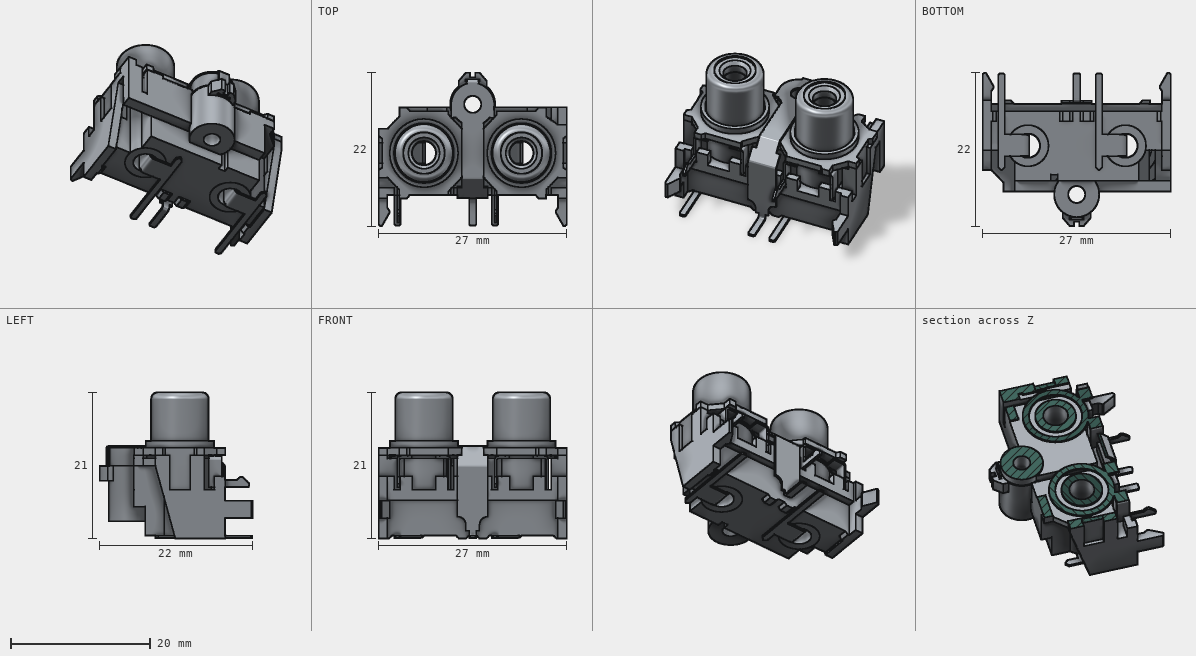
import cadquery as cq
import math


half_width = 13.5
jack_x = 7.0
top_z = 21.0

bottom_z = 0.43
terminal_z = 0.08
ledge_z = 5.54
floor_z = 7.02
tooth_z = 8.95
deck_under_z = 10.42
deck_z = 11.5
cap_z = 12.0
cap_thickness = 1.03
cap_top_z = cap_z + cap_thickness
flange_z = 14.0

pillar_front_y = -6.5
ledge_front_y = -6.02
wall_front_y = -4.97
block_front_y = -3.5
rear_y = 6.6
rear_step_y = 5.0
wall_foot_y = 0.65
corner_y = -block_front_y

side_wall = 1.27
wall_inner_x = half_width - side_wall
cut_x = 10.53
cut_y = 5.26
core_half_width = 8.9

slot_inner = 3.43
slot_outer = 4.27
left_channel_inner = 3.25
slot_width = slot_outer - slot_inner
window_half_width = 1.67

snap_half_length = 1.48
snap_setback = 0.55

corner_post_y = 4.08

sleeve_diameter = 8.3
sleeve_bore = 7.6
sleeve_mouth = 6.0
sleeve_rounding = 1.0
sheet = (sleeve_diameter - sleeve_bore) / 2
sleeve_disc = 9.5
insulator_diameter = 5.9
contact_bore = 3.4
flange_diameter = 9.8
flange_bore = 8.6
barrel_diameter = 9.02

boss_y = 7.0
boss_hole = 2.4
boss_diameter = 6.48
boss_neck_diameter = 6.15
strip = 0.3
bracket_top_z = cap_top_z + strip
bracket_front_y = -6.48
slope_top_y = -3.67
slope_foot_z = 10.5
tongue_rear_y = 10.58
tongue_half_width = 0.85
pin_end_y = -10.4
lug_z = 8.3


def box(x0, x1, y0, y1, z0, z1):
    """Box between two opposite corners."""
    return cq.Workplane("XY").box(x1 - x0, y1 - y0, z1 - z0, centered=False).translate((x0, y0, z0))


def rod(diameter, z0, z1, x=0.0, y=0.0):
    """Upright cylinder."""
    return cq.Workplane("XY", origin=(x, y, z0)).circle(diameter / 2).extrude(z1 - z0)


def plan(points, z0, z1):
    """Upright prism over an XY outline."""
    return cq.Workplane("XY", origin=(0, 0, z0)).polyline(points).close().extrude(z1 - z0)


def profile(points, x0, x1):
    """Prism along X over a YZ outline."""
    return cq.Workplane("YZ", origin=(x0, 0, 0)).polyline(points).close().extrude(x1 - x0)


def both_sides(solid):
    """A shape on the left joined with its mirror image on the right."""
    return solid.union(solid.mirror("YZ"))


def side_wall_left():
    """Side wall with a sloping rear edge, a corner pillar in front and a window for the cap's snap tab."""
    wall = profile(
        [
            (pillar_front_y, 0),
            (wall_foot_y, 0),
            (corner_y, deck_under_z),
            (corner_y, cap_z),
            (block_front_y, cap_z),
            (block_front_y, floor_z),
            (wall_front_y, floor_z),
            (wall_front_y, tooth_z),
            (pillar_front_y, tooth_z),
        ],
        -half_width,
        -wall_inner_x,
    )
    window = box(-half_width, -wall_inner_x, -snap_half_length, snap_half_length, floor_z, cap_z)
    return wall.cut(window)


def latch_left():
    """Snap latch reaching forward from the corner pillar."""
    latch_z0, latch_z1 = 2.95, 5.45
    hook_x = -11.9
    neck_end_y = -7.83
    tip_y = -10.48
    return plan(
        [
            (-half_width, pillar_front_y),
            (-wall_inner_x, pillar_front_y),
            (-wall_inner_x, neck_end_y),
            (hook_x, -8.32),
            (hook_x, -8.53),
            (-12.1, -8.85),
            (-13.01, tip_y),
            (-13.25, tip_y),
            (-half_width, -10.25),
        ],
        latch_z0,
        latch_z1,
    )


def front_wall_left():
    """Left half of the front wall, with bevelled feet at the side wall and at the middle."""
    return (
        cq.Workplane("XZ", origin=(0, block_front_y, 0))
        .polyline(
            [
                (-wall_inner_x, 0),
                (-12.05, 0),
                (-11.53, bottom_z),
                (-2.43, bottom_z),
                (-1.97, 0),
                (-0.97, 0),
                (-0.55, bottom_z),
                (0, bottom_z),
                (0, floor_z),
                (-wall_inner_x, floor_z),
            ]
        )
        .close()
        .extrude(block_front_y - wall_front_y)
    )


def front_teeth():
    """Overhanging ledge with a row of teeth, slotted for the legs and open in front of each jack."""
    row = box(-wall_inner_x, wall_inner_x, ledge_front_y, wall_front_y, ledge_z, tooth_z)
    for x in (-jack_x, jack_x):
        openings = [
            (x - slot_outer, x - slot_inner),
            (x - window_half_width, x + window_half_width),
            (x + slot_inner, x + slot_outer),
        ]
        for x0, x1 in openings:
            row = row.cut(box(x0, x1, ledge_front_y, wall_front_y, floor_z, tooth_z))
    return row


def deck():
    """Upper slab under the cap; only its left rear corner is cut off."""
    slab = plan(
        [
            (-wall_inner_x, block_front_y),
            (wall_inner_x, block_front_y),
            (wall_inner_x, rear_y),
            (-cut_x, rear_y),
            (-cut_x, cut_y),
            (-wall_inner_x, corner_y),
        ],
        deck_under_z,
        deck_z,
    )
    corner_wall = box(wall_inner_x, half_width, corner_y, corner_post_y, deck_under_z, cap_z)
    corner_post = box(wall_inner_x, half_width, corner_post_y, rear_y, deck_under_z, cap_top_z)
    return slab.union(corner_wall).union(corner_post)


def deck_rims():
    """Low rims on the deck that carry the cap along the rear edge and inside the side walls."""
    side_rim = 0.27
    left_rim_end = -6.53
    right_rim_start = 7.83
    rims = both_sides(box(-wall_inner_x, -wall_inner_x + side_rim, 0, corner_y, deck_z, cap_z))
    rear_rims = [
        (-cut_x, left_rim_end, cut_y),
        (right_rim_start, jack_x + slot_inner, cut_y),
        (jack_x + slot_outer, wall_inner_x, corner_post_y),
    ]
    for x0, x1, y0 in rear_rims:
        rims = rims.union(box(x0, x1, y0, rear_y, deck_z, cap_z))
    return rims


def core():
    """Solid middle of the housing below the deck."""
    back_z = 4.6
    front = box(-wall_inner_x, wall_inner_x, block_front_y, wall_foot_y, bottom_z, deck_under_z)
    middle = box(-core_half_width, core_half_width, wall_foot_y, rear_step_y, bottom_z, deck_under_z)
    back = box(-core_half_width, half_width, rear_step_y, rear_y, back_z, deck_under_z)
    return front.union(middle).union(back)


def barrel_front(x):
    """Round front bulge of the housing around one jack."""
    bulge = rod(barrel_diameter, floor_z, deck_z, x)
    return bulge.intersect(box(x - barrel_diameter, x + barrel_diameter, -barrel_diameter, 0, 0, top_z))


def channel(x0, x1):
    """Channel beside a jack, running to the rear, with a well through the underside."""
    run = box(x0, x1, block_front_y, rear_y, floor_z, cap_z)
    well = box(x0, x1, rear_step_y - slot_width, rear_step_y, bottom_z, floor_z)
    return run.union(well)


def boss():
    """Stepped mounting boss with a slotted lug at its rear."""
    boss_z = 2.45
    lug_half_width = 2.02
    lug_shoulder_y = 10.35
    lug_tip_half_width = 1.0
    lug_rear_y = 11.53
    notch_half_width = 0.35
    notch_y = 10.9
    lug = plan(
        [
            (-lug_half_width, boss_y),
            (lug_half_width, boss_y),
            (lug_half_width, lug_shoulder_y),
            (lug_tip_half_width, lug_rear_y),
            (-lug_tip_half_width, lug_rear_y),
            (-lug_half_width, lug_shoulder_y),
        ],
        lug_z,
        deck_under_z,
    )
    end_notch = box(-notch_half_width, notch_half_width, notch_y, lug_rear_y, lug_z, deck_under_z)
    tongue_slot = box(
        -lug_tip_half_width, lug_tip_half_width, tongue_rear_y - strip, tongue_rear_y, lug_z, deck_under_z
    )
    body = rod(boss_diameter, boss_z, deck_under_z, 0, boss_y).union(lug)
    neck = rod(boss_neck_diameter, deck_under_z, cap_top_z, 0, boss_y)
    return body.union(neck).cut(end_notch).cut(tongue_slot)


def make_housing():
    body = core().union(deck()).union(deck_rims())
    for x, inner in ((-jack_x, left_channel_inner), (jack_x, slot_inner)):
        body = body.union(barrel_front(x)).cut(channel(x + inner, x + slot_outer))
    body = body.union(both_sides(side_wall_left().union(latch_left()).union(front_wall_left())))
    ledge = box(-wall_inner_x, wall_inner_x, wall_front_y, block_front_y, ledge_z, floor_z)
    body = body.union(ledge).union(front_teeth()).union(boss())
    for x in (-jack_x, jack_x):
        body = body.cut(rod(insulator_diameter, 0, top_z, x))
    return body.cut(rod(boss_hole, 0, top_z, 0, boss_y))


def cap_plate_left():
    """Octagon-like plate over the left jack with end tabs and a bevelled side notch."""
    web_x = -1.57
    inner_x = -3.48
    edge_y = 6.02
    tab_y = 6.53
    rear_half = [
        (-half_width + snap_setback, 2.08),
        (-half_width, 2.45),
        (-half_width, corner_y),
        (-wall_inner_x, corner_y),
        (-cut_x, cut_y),
        (-cut_x, tab_y),
        (-9.45, tab_y),
        (-9.02, edge_y),
        (inner_x, edge_y),
        (inner_x, 5.54),
        (web_x, corner_y),
    ]
    front_half = [(x, -y) for x, y in reversed(rear_half)]
    plate = plan(rear_half + front_half, cap_z, cap_top_z)
    snap_x = -half_width + snap_setback
    snap_tab = box(snap_x, -wall_inner_x, -snap_half_length, snap_half_length, floor_z, cap_z)
    return plate.union(snap_tab)


def cap_corner_right():
    """Filling of the right rear corner up to the corner post of the housing."""
    return plan(
        [
            (wall_inner_x, corner_y),
            (half_width, corner_y),
            (half_width, corner_post_y),
            (wall_inner_x, corner_post_y),
            (cut_x, cut_y),
        ],
        cap_z,
        cap_top_z,
    )


def make_cap():
    """One cap for both jacks: two flanged plates joined by a web under the bracket."""
    web_front_y = -3.35
    web = box(-jack_x, jack_x, web_front_y, corner_y, cap_z, cap_top_z)
    cap = both_sides(cap_plate_left()).union(web).union(cap_corner_right())
    for x in (-jack_x, jack_x):
        cap = cap.union(rod(flange_diameter, cap_top_z, flange_z, x))
    for x in (-jack_x, jack_x):
        cap = cap.cut(rod(flange_bore, cap_z, flange_z, x))
    return cap


leg_outer = 3.85
leg_rear_y = -4.15
wing_inner = 1.73


def ground_wing(side, leg_end_z):
    """Flat wing in front of the disc, bent down at its outer edge into a leg."""
    z1 = deck_z + sheet
    bend_radius = 0.55
    angle = (
        cq.Workplane("XZ", origin=(0, leg_rear_y, 0))
        .polyline(
            [
                (wing_inner, deck_z),
                (leg_outer - sheet, deck_z),
                (leg_outer - sheet, leg_end_z),
                (leg_outer, leg_end_z),
                (leg_outer, z1),
                (wing_inner, z1),
            ]
        )
        .close()
        .extrude(leg_rear_y - ledge_front_y)
    )
    middle_y = (leg_rear_y + ledge_front_y) / 2
    outer_edge = cq.selectors.NearestToPointSelector((leg_outer, middle_y, z1))
    inner_edge = cq.selectors.NearestToPointSelector((leg_outer - sheet, middle_y, deck_z))
    angle = angle.edges(outer_edge).fillet(bend_radius).edges(inner_edge).fillet(bend_radius - sheet)
    return angle if side > 0 else angle.mirror("YZ")


def make_sleeve(x):
    """Thin round-topped sleeve on a disc, with two legs; the left one carries a solder tab."""
    tab_z = 7.4
    tab_top_z = 8.42
    tab_hook_z = 8.85
    disc = rod(sleeve_disc, deck_z, deck_z + sheet)
    tube = rod(sleeve_diameter, deck_z, top_z).faces(">Z").edges().fillet(sleeve_rounding)
    hollow = rod(sleeve_bore, deck_z, top_z - sheet).faces(">Z").edges().fillet(sleeve_rounding - sheet)
    tab = profile(
        [
            (ledge_front_y, tab_z),
            (-9.88, tab_z),
            (-10.0, 7.88),
            (-9.0, tab_hook_z),
            (-8.65, tab_hook_z),
            (-8.15, tab_top_z),
            (ledge_front_y, tab_top_z),
        ],
        -leg_outer,
        -leg_outer + sheet,
    )
    sleeve = disc.union(tube).cut(hollow).cut(rod(sleeve_mouth, deck_z, top_z))
    sleeve = sleeve.union(ground_wing(-1, tab_z)).union(tab)
    return sleeve.union(ground_wing(1, floor_z)).translate((x, 0, 0))


def make_insulator(x):
    """Long insulating barrel with a countersunk bore that widens a little below its mouth."""
    recess = 0.2
    rim_z = top_z - recess
    countersink = 0.55
    mouth_depth = 1.78
    wide_bore = 3.5
    barrel = rod(insulator_diameter, bottom_z, rim_z).cut(rod(contact_bore, bottom_z, rim_z))
    barrel = barrel.faces(">Z").edges("%CIRCLE").edges(cq.selectors.RadiusNthSelector(0)).chamfer(countersink)
    return barrel.cut(rod(wide_bore, bottom_z, rim_z - mouth_depth)).translate((x, 0, 0))


def make_terminal(x):
    """Flat plate under the jack with a pin to the front and a blade bent up into the bore."""
    pin_width = 0.95
    tip_bevel = 0.22
    rear_bevel = 0.43
    blade_x = 0.2
    blade_top_z = 5.4
    blade_half_width = 1.48
    plate_rear_y = 3.5
    plate_front_y = -1.62
    plate_z = terminal_z + sheet
    inner_bend = 0.43
    pin = box(-slot_outer, -slot_outer + pin_width, pin_end_y, plate_rear_y, terminal_z, plate_z)
    pin = pin.faces("<Y").edges("|Z").chamfer(tip_bevel).faces(">Y").edges("|Z").chamfer(rear_bevel)
    plate = box(-slot_outer, blade_x, plate_front_y, blade_half_width, terminal_z, plate_z)
    blade = box(blade_x - sheet, blade_x, -blade_half_width, blade_half_width, terminal_z, blade_top_z)
    body = plate.union(blade).union(pin)
    inner_edge = cq.selectors.NearestToPointSelector((blade_x - sheet, 0, plate_z))
    outer_edge = cq.selectors.NearestToPointSelector((blade_x, 0, terminal_z))
    body = body.edges(inner_edge).fillet(inner_bend).edges(outer_edge).fillet(inner_bend + sheet)
    return body.translate((x, 0, 0))


def bent_strip(path, radii, thickness, half_width_x):
    """Sheet of constant thickness on the left of a YZ path, with every corner bent to its inner radius."""
    headings = [math.atan2(b[1] - a[1], b[0] - a[0]) for a, b in zip(path, path[1:])]
    starts = [headings[0]] + headings
    ends = headings + [headings[-1]]
    inside = []
    for (y, z), before, after in zip(path, starts, ends):
        normal = (before + after) / 2 + math.pi / 2
        reach = thickness / math.cos((after - before) / 2)
        inside.append((y + reach * math.cos(normal), z + reach * math.sin(normal)))
    body = profile(path + inside[::-1], -half_width_x, half_width_x)
    for near, far, before, after, radius in zip(path[1:-1], inside[1:-1], headings, headings[1:], radii):
        turns_left = math.sin(after - before) > 0
        outer, inner = (near, far) if turns_left else (far, near)
        body = body.edges(cq.selectors.NearestToPointSelector((0, *outer))).fillet(radius + thickness)
        body = body.edges(cq.selectors.NearestToPointSelector((0, *inner))).fillet(radius)
    return body


def bracket_plan():
    """Plan outline of the rear part: tongue, ring and neck, with rounded shoulders."""
    ring_radius = boss_neck_diameter / 2
    neck = 1.57
    shoulder_y = 5.1
    shoulder_radius = 1.08
    head = box(-ring_radius, ring_radius, shoulder_y, boss_y, 0, top_z)
    outline = head.union(box(-neck, neck, wall_front_y, boss_y, 0, top_z))
    for side in (-1, 1):
        corner = cq.selectors.NearestToPointSelector((side * neck, shoulder_y, top_z / 2))
        outline = outline.edges(corner).fillet(shoulder_radius)
    outline = outline.union(rod(boss_neck_diameter, 0, top_z, 0, boss_y))
    return outline.union(box(-tongue_half_width, tongue_half_width, boss_y, tongue_rear_y, 0, top_z))


def bracket_front():
    """Front outline of the drop: wide apron, concave shoulders, short stem and pin."""
    apron, stem, pin = 2.2, 0.97, 0.5
    apron_z, stem_z = 3.15, 1.1
    curve = apron - stem
    middle = curve * math.sqrt(0.5)
    outline = (
        cq.Workplane("XZ", origin=(0, slope_top_y, 0))
        .moveTo(0, top_z)
        .lineTo(-apron, top_z)
        .lineTo(-apron, apron_z)
        .threePointArc((-apron + middle, apron_z - curve + middle), (-stem, apron_z - curve))
        .lineTo(-stem, stem_z)
        .lineTo(-pin, stem_z)
        .lineTo(-pin, 0)
        .lineTo(0, 0)
        .close()
        .extrude(slope_top_y - pin_end_y)
    )
    slope = (bracket_top_z - slope_foot_z) / (slope_top_y - bracket_front_y)
    edge_z = slope_foot_z + slope * (wall_front_y - bracket_front_y)
    square_edge = [
        (slope_top_y, edge_z - (slope_top_y - wall_front_y) / slope),
        (bracket_front_y, edge_z + (wall_front_y - bracket_front_y) / slope),
    ]
    apron_side = profile(
        [*square_edge, (pin_end_y, top_z), (pin_end_y, 0), (slope_top_y, 0)], -apron, apron
    )
    return both_sides(outline).intersect(apron_side)


def make_bracket():
    pin_top_z = terminal_z + strip
    bend_radii = [0.15, 0.14, 0.14, 0.32]
    tip_bevel = 0.15
    path = [
        (tongue_rear_y, lug_z),
        (tongue_rear_y, bracket_top_z),
        (slope_top_y, bracket_top_z),
        (bracket_front_y, slope_foot_z),
        (bracket_front_y, pin_top_z),
        (pin_end_y, pin_top_z),
    ]
    sheet_body = bent_strip(path, bend_radii, strip, boss_neck_diameter / 2)
    body = sheet_body.intersect(bracket_plan().union(bracket_front()))
    body = body.cut(rod(boss_hole, deck_z, top_z, 0, boss_y))
    return body.faces("<Y").edges("|Z").chamfer(tip_bevel)


housing = make_housing()
cap = make_cap()
bracket = make_bracket()
sleeves = [make_sleeve(x) for x in (-jack_x, jack_x)]
insulators = [make_insulator(x) for x in (-jack_x, jack_x)]
terminals = [make_terminal(x) for x in (-jack_x, jack_x)]

repeated = [body.val() for body in sleeves + insulators + terminals]
result = cq.Compound.makeCompound([housing.val(), cap.val(), bracket.val(), *repeated])